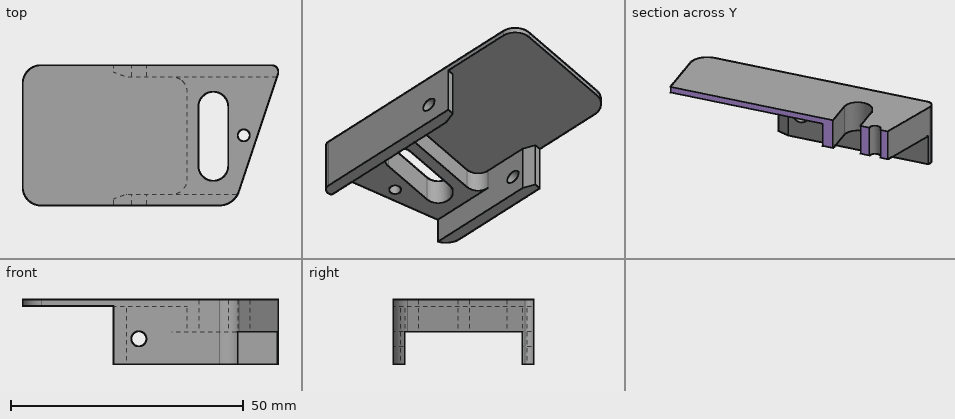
import cadquery as cq
import math

length = 55.0
width = 30.23
height = 14.0

plate_thickness = 1.5
square_end_radius = 4.0
slant_angle = 18.45
tip_radius = 1.5
heel_radius = 4.5

body_start_x = 19.5
block_bottom_z = 7.0
side_wall = 2.5
wall_lip = 1.5
lip_taper_angle = 20.0
pocket_corner_radius = 3.25

slot_x = 41.0
slot_y = -0.2
slot_width = 6.35
slot_length = 19.1
pocket_to_slot_wall = 2.5
pin_hole_x = 47.55
pin_hole_diameter = 2.53
cross_hole_x = 25.0
cross_hole_z = 5.5
cross_hole_diameter = 3.2

half_width = width / 2
plate_bottom_z = height - plate_thickness
inner_half_width = half_width - side_wall
lip_length = (side_wall - wall_lip) / math.tan(math.radians(lip_taper_angle))
pocket_end_x = slot_x - slot_width / 2 - pocket_to_slot_wall

tip_tangent = tip_radius / math.tan(math.radians((90 - slant_angle) / 2))
tip_x = length - tip_radius + tip_tangent
heel_x = tip_x - width * math.tan(math.radians(slant_angle))


def vertical_edge_at(x, y):
    """Selector for the vertical edge that stands at one outline corner."""
    margin = 0.1
    return cq.selectors.BoxSelector(
        (x - margin, y - margin, -margin),
        (x + margin, y + margin, height + margin),
        boundingbox=True,
    )


def make_envelope():
    """Full-height prism with the rounded outline of the plate."""
    corners = [(0, -half_width), (heel_x, -half_width), (tip_x, half_width), (0, half_width)]
    radii = [square_end_radius, heel_radius, tip_radius, square_end_radius]
    prism = cq.Workplane("XY").polyline(corners).close().extrude(height)
    for (x, y), radius in zip(corners, radii):
        prism = prism.edges(vertical_edge_at(x, y)).fillet(radius)
    return prism


def make_overhang_cut():
    """Space under the plate, ahead of the side walls."""
    return cq.Workplane("XY").box(body_start_x, width, plate_bottom_z, centered=(False, True, False))


def make_pocket():
    """Pocket between the side walls, with a flared mouth and rounded inner corners."""
    mouth_half_width = half_width - wall_lip
    throat_x = body_start_x + lip_length
    outline = [
        (body_start_x, -mouth_half_width),
        (throat_x, -inner_half_width),
        (pocket_end_x, -inner_half_width),
        (pocket_end_x, inner_half_width),
        (throat_x, inner_half_width),
        (body_start_x, mouth_half_width),
    ]
    pocket = cq.Workplane("XY").polyline(outline).close().extrude(plate_bottom_z)
    for y in (-inner_half_width, inner_half_width):
        pocket = pocket.edges(vertical_edge_at(pocket_end_x, y)).fillet(pocket_corner_radius)
    return pocket


def make_block_undercut():
    """Channel under the solid block, open through the slanted end."""
    return (
        cq.Workplane("XY")
        .box(tip_x - body_start_x, 2 * inner_half_width, block_bottom_z, centered=(False, True, False))
        .translate((body_start_x, 0, 0))
    )


def make_slot():
    """Rounded slot running along Y, through plate and block."""
    return (
        cq.Workplane("XY")
        .center(slot_x, slot_y)
        .slot2D(slot_length, slot_width, 90)
        .extrude(height)
    )


def make_pin_hole():
    """Vertical hole through plate and block near the slanted end."""
    return cq.Workplane("XY").center(pin_hole_x, 0).circle(pin_hole_diameter / 2).extrude(height)


def make_cross_hole():
    """Hole along Y through both side walls."""
    return (
        cq.Workplane("XZ")
        .center(cross_hole_x, cross_hole_z)
        .circle(cross_hole_diameter / 2)
        .extrude(half_width, both=True)
    )


result = (
    make_envelope()
    .cut(make_overhang_cut())
    .cut(make_pocket())
    .cut(make_block_undercut())
    .cut(make_slot())
    .cut(make_pin_hole())
    .cut(make_cross_hole())
)